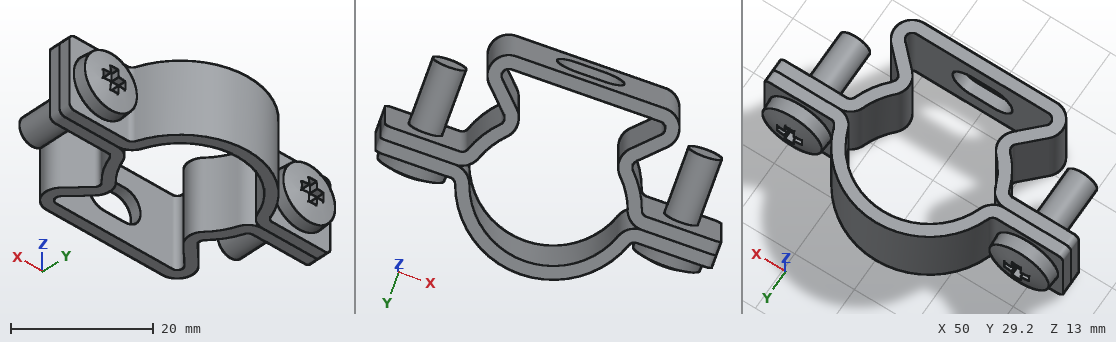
import cadquery as cq
import math

strip_width = 13.0
strip_thickness = 2.0
bend_inner_radius = 1.0
bend_outer_radius = bend_inner_radius + strip_thickness

seat_inner_radius = 11.75
seat_outer_radius = seat_inner_radius + strip_thickness
seat_centre_offset = strip_thickness

flange_half_span = 25.0
flange_corner_radius = 1.0

foot_bottom = -17.5
foot_half_width = 14.1
leg_angle = 45.0
slot_length = 10.0
slot_height = 6.0

screw_spacing = 38.0
shank_diameter = 5.0
shank_end = -12.0
head_base_diameter = 10.3
head_edge_diameter = 9.95
head_side_height = 2.1
dome_height = 0.85

recess_length = 4.2
recess_width = 1.5
recess_depth = 1.5

screw_positions = (-screw_spacing / 2, screw_spacing / 2)


def along(vector, point):
    """Component of a point's position along a unit vector."""
    return vector[0] * point[0] + vector[1] * point[1]


def polar(centre, radius, angle):
    """Point at an angle in degrees on a circle."""
    turn = math.radians(angle)
    return (centre[0] + radius * math.cos(turn), centre[1] + radius * math.sin(turn))


seat_centre = (0.0, -seat_centre_offset)
flange_bend_y = bend_outer_radius
flange_bend_rise = flange_bend_y + seat_centre_offset
flange_bend_x = math.sqrt((seat_outer_radius + bend_inner_radius) ** 2 - flange_bend_rise**2)
flange_bend_centre = (flange_bend_x, flange_bend_y)
seat_end_angle = math.degrees(math.atan2(flange_bend_rise, flange_bend_x))

foot_bend_centre = (foot_half_width - bend_outer_radius, foot_bottom + bend_outer_radius)

lower_seat_centre = (0.0, seat_centre_offset)
leg_normal = (math.sin(math.radians(leg_angle)), math.cos(math.radians(leg_angle)))
leg_direction = (leg_normal[1], -leg_normal[0])
neck_across = along(leg_normal, foot_bend_centre) + bend_inner_radius + bend_outer_radius
seat_across = along(leg_normal, lower_seat_centre)
seat_along = along(leg_direction, lower_seat_centre)
neck_along = seat_along + math.sqrt(
    (seat_outer_radius + bend_inner_radius) ** 2 - (neck_across - seat_across) ** 2
)
neck_centre = (
    neck_across * leg_normal[0] + neck_along * leg_direction[0],
    neck_across * leg_normal[1] + neck_along * leg_direction[1],
)
neck_seat_angle = math.degrees(
    math.atan2(neck_centre[1] - lower_seat_centre[1], neck_centre[0] - lower_seat_centre[0])
)
leg_normal_angle = 90.0 - leg_angle


def add_arc(outline, centre, radius, start_angle, end_angle):
    """Extend the outline by an arc that starts at the outline's last point."""
    middle = polar(centre, radius, (start_angle + end_angle) / 2)
    return outline.threePointArc(middle, polar(centre, radius, end_angle))


def mirrored_strip(outline):
    """Extrude a right-hand half outline across the strip width and mirror it about X = 0."""
    half = outline.close().extrude(strip_width / 2, both=True)
    half = half.edges("|Y and >X").fillet(flange_corner_radius)
    return half.union(half.mirror("YZ")).clean()


def cut_screw_holes(clamp_half):
    holes = (
        cq.Workplane("XZ")
        .pushPoints([(x, 0) for x in screw_positions])
        .circle(shank_diameter / 2)
        .extrude(2 * strip_thickness, both=True)
    )
    return clamp_half.cut(holes)


def make_upper_half():
    bend_end_angle = 180.0 + seat_end_angle
    outline = cq.Workplane("XY").moveTo(*polar(seat_centre, seat_outer_radius, 90))
    outline = add_arc(outline, seat_centre, seat_outer_radius, 90, seat_end_angle)
    outline = add_arc(outline, flange_bend_centre, bend_inner_radius, bend_end_angle, 270)
    outline = outline.lineTo(flange_half_span, strip_thickness).lineTo(flange_half_span, 0)
    outline = outline.lineTo(flange_bend_x, 0)
    outline = add_arc(outline, flange_bend_centre, bend_outer_radius, 270, bend_end_angle)
    outline = add_arc(outline, seat_centre, seat_inner_radius, seat_end_angle, 90)
    return cut_screw_holes(mirrored_strip(outline))


def make_lower_half():
    bend_centre = (flange_bend_x, -flange_bend_y)
    bend_end_angle = 180.0 - seat_end_angle
    neck_start_angle = 180.0 + neck_seat_angle
    neck_end_angle = 180.0 + leg_normal_angle

    outline = cq.Workplane("XY").moveTo(0, foot_bottom).lineTo(foot_bend_centre[0], foot_bottom)
    outline = add_arc(outline, foot_bend_centre, bend_outer_radius, -90, leg_normal_angle)
    outline = outline.lineTo(*polar(neck_centre, bend_inner_radius, neck_end_angle))
    outline = add_arc(outline, neck_centre, bend_inner_radius, neck_end_angle, neck_start_angle)
    outline = add_arc(outline, lower_seat_centre, seat_outer_radius, neck_seat_angle, -seat_end_angle)
    outline = add_arc(outline, bend_centre, bend_inner_radius, bend_end_angle, 90)
    outline = outline.lineTo(flange_half_span, -strip_thickness).lineTo(flange_half_span, 0)

    outline = outline.lineTo(flange_bend_x, 0)
    outline = add_arc(outline, bend_centre, bend_outer_radius, 90, bend_end_angle)
    outline = add_arc(outline, lower_seat_centre, seat_inner_radius, -seat_end_angle, neck_seat_angle)
    outline = add_arc(outline, neck_centre, bend_outer_radius, neck_start_angle, neck_end_angle)
    outline = outline.lineTo(*polar(foot_bend_centre, bend_inner_radius, leg_normal_angle))
    outline = add_arc(outline, foot_bend_centre, bend_inner_radius, leg_normal_angle, -90)
    outline = outline.lineTo(0, foot_bottom + strip_thickness)

    slot = (
        cq.Workplane("XZ", origin=(0, foot_bottom, 0))
        .slot2D(slot_length, slot_height)
        .extrude(-strip_thickness)
    )
    return cut_screw_holes(mirrored_strip(outline)).cut(slot)


def make_screw(x):
    """Screw along Y with a tapered, domed head on the upper flange and a cross recess in the dome."""
    edge_radius = head_edge_diameter / 2
    head_edge = strip_thickness + head_side_height
    head_top = head_edge + dome_height
    dome_radius = (edge_radius**2 + dome_height**2) / (2 * dome_height)
    half_dome_angle = math.degrees(math.asin(edge_radius / dome_radius)) / 2
    dome_middle = polar((0, head_top - dome_radius), dome_radius, 90 - half_dome_angle)
    body = (
        cq.Workplane("XY")
        .moveTo(0, shank_end)
        .lineTo(shank_diameter / 2, shank_end)
        .lineTo(shank_diameter / 2, strip_thickness)
        .lineTo(head_base_diameter / 2, strip_thickness)
        .lineTo(edge_radius, head_edge)
        .threePointArc(dome_middle, (0, head_top))
        .close()
        .revolve(360, (0, 0, 0), (0, 1, 0))
    )
    recess_plane = cq.Workplane("XZ", origin=(0, head_top, 0))
    recess = recess_plane.rect(recess_length, recess_width).extrude(recess_depth)
    recess = recess.union(recess_plane.rect(recess_width, recess_length).extrude(recess_depth))
    return body.cut(recess).translate((x, 0, 0))


upper_half = make_upper_half()
lower_half = make_lower_half()
screws = [make_screw(x) for x in screw_positions]

result = cq.Compound.makeCompound(
    [upper_half.val(), lower_half.val(), *[screw.val() for screw in screws]]
)